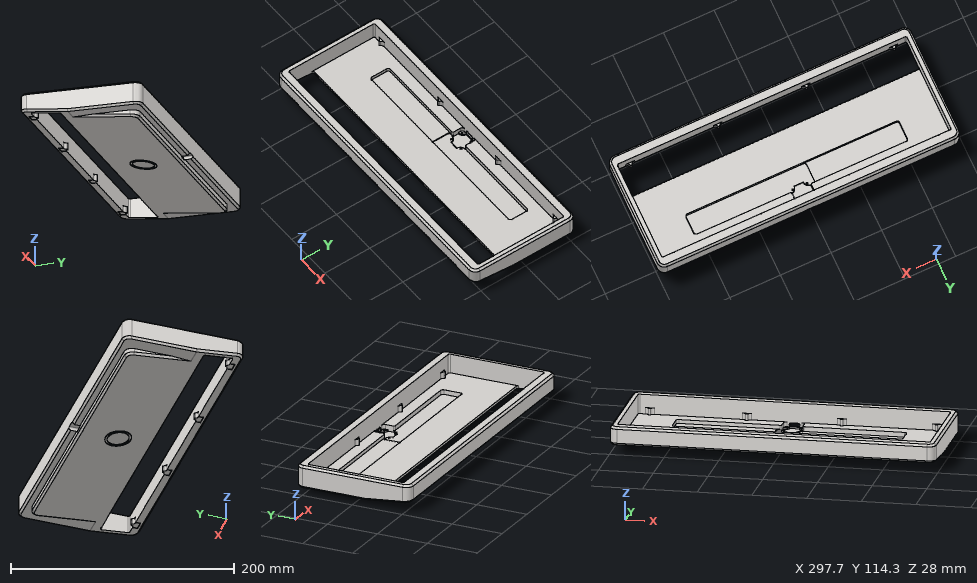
import cadquery as cq
import math


LENGTH = 297.7
WIDTH = 114.3
CORNER_RADIUS = 7.0
EDGE_CHAMFER = 2.0
HOUSING_DEPTH = 21.7
SIDE_WALL = 6.0
LONG_WALL = 9.2
INNER_RADIUS = 1.5
FLOOR_DEPTH = 18.2
FLOOR_FRONT_Y = -20.2

SLOPE_ANGLE = 6.0
FRONT_DEPTH = 17.0

FOOT_LENGTH = 267.3
FOOT_SETBACK = 7.5

RING_OUTER_DIAMETER = 24.0
RING_INNER_DIAMETER = 20.0
RING_DEPTH = 0.5
RING_Y = 12.0

STOP_NOSE_RADIUS = 1.2
STOP_NOSE_REACH = 2.75
STOP_FLARE_RADIUS = 3.3
STOP_HEIGHT = 6.0
INNER_STOP_X = 43.5
OUTER_STOP_X = 130.0
OFFSET_STOP_X = 132.2

POCKET_RADIUS = 2.5
POCKET_LEFT = -105.7
POCKET_STEP = -14.0
POCKET_RIGHT = 105.0
POCKET_FRONT = 15.5
POCKET_BACK = 36.3
SHALLOW_POCKET_DEPTH = 3.5
DEEP_POCKET_DEPTH = 4.5

BAY_LENGTH = 19.0
BAY_WIDTH = 17.0
BAY_EXTRA_DEPTH = 1.5
POST_RADIUS = 5.0
SCREW_INSET = 2.53
BAY_RADIUS = 2.7
BAY_LIP_RADIUS = 1.35
SCREW_HOLE_DIAMETER = 1.65
PORT_LENGTH = 9.8
PORT_HEIGHT = 3.5
PORT_TOP_DEPTH = 19.0

DOWNWARD_NORMAL_Z = -0.9
TOLERANCE = 0.03

half_width = WIDTH / 2
inner_length = LENGTH - 2 * SIDE_WALL
inner_back = half_width - LONG_WALL
slope = math.tan(math.radians(SLOPE_ANGLE))
foot_back = half_width - FOOT_SETBACK
deep_pocket_z = -FLOOR_DEPTH - DEEP_POCKET_DEPTH
bay_z = deep_pocket_z - BAY_EXTRA_DEPTH


def slope_z(y):
    """Height of the sloped underside at a given Y."""
    return -FRONT_DEPTH - slope * (y + half_width)


def block(x_min, x_max, y_min, y_max, z_min, z_max):
    """Box between the given limits."""
    size = (x_max - x_min, y_max - y_min, z_max - z_min)
    return cq.Workplane("XY").box(*size, centered=False).translate((x_min, y_min, z_min))


def sloped_block(length, back, depth):
    """Block with rounded uprights, a flat underside and a sloped front underside."""
    slope_end = min(back, (depth - FRONT_DEPTH) / slope - half_width)
    profile = [(-half_width, 0), (back, 0), (back, max(-depth, slope_z(back)))]
    if slope_end < back:
        profile.append((slope_end, -depth))
    profile.append((-half_width, -FRONT_DEPTH))
    solid = cq.Workplane("YZ").polyline(profile).close().extrude(length / 2, both=True)
    return solid.edges("|Z").fillet(CORNER_RADIUS)


def underside_rim(solid, crease_y):
    """Outer edges of the underside, without the crease where the slope ends."""
    undersides = [f for f in solid.faces().vals() if f.normalAt().z < DOWNWARD_NORMAL_Z]
    edges = [e for f in undersides for e in f.Edges()]
    return [e for e in edges if abs(e.Center().y - crease_y) > TOLERANCE]


def make_housing():
    crease_y = (HOUSING_DEPTH - FRONT_DEPTH) / slope - half_width
    solid = sloped_block(LENGTH, half_width, HOUSING_DEPTH)
    solid = solid.faces(">Z").chamfer(EDGE_CHAMFER)
    return solid.newObject(underside_rim(solid, crease_y)).chamfer(EDGE_CHAMFER)


def make_foot():
    solid = sloped_block(FOOT_LENGTH, foot_back, -slope_z(foot_back))
    solid = solid.newObject(underside_rim(solid, -half_width)).chamfer(EDGE_CHAMFER)
    keep = block(-LENGTH, LENGTH, FLOOR_FRONT_Y, WIDTH, -WIDTH, -FLOOR_DEPTH)
    return solid.intersect(keep)


def make_cavity():
    tray = block(-inner_length / 2, inner_length / 2, -inner_back, inner_back, -FLOOR_DEPTH, 0)
    opening = block(-inner_length / 2, inner_length / 2, -inner_back, FLOOR_FRONT_Y, -WIDTH, 0)
    return tray.edges("|Z").fillet(INNER_RADIUS).union(opening.edges("|Z").fillet(INNER_RADIUS))


def make_stop(x, side):
    """Bell-shaped stop; side is +1 on the back wall and -1 on the front wall."""
    nose_y = STOP_NOSE_REACH - STOP_NOSE_RADIUS
    center_gap = STOP_NOSE_RADIUS + STOP_FLARE_RADIUS
    half_base = math.sqrt(center_gap**2 - (STOP_FLARE_RADIUS - nose_y) ** 2)
    join_angle = math.atan2(STOP_FLARE_RADIUS - nose_y, half_base)
    join_x = STOP_NOSE_RADIUS * math.cos(join_angle)
    join_y = nose_y + STOP_NOSE_RADIUS * math.sin(join_angle)
    flare_angle = (math.pi / 2 + join_angle) / 2
    flare_x = half_base - STOP_FLARE_RADIUS * math.cos(flare_angle)
    flare_y = STOP_FLARE_RADIUS * (1 - math.sin(flare_angle))
    profile = (
        cq.Workplane("XY")
        .moveTo(-half_base, 0)
        .threePointArc((-flare_x, flare_y), (-join_x, join_y))
        .threePointArc((0, STOP_NOSE_REACH), (join_x, join_y))
        .threePointArc((flare_x, flare_y), (half_base, 0))
        .lineTo(half_base, -LONG_WALL / 2)
        .lineTo(-half_base, -LONG_WALL / 2)
        .close()
    )
    stop = profile.extrude(STOP_HEIGHT)
    if side > 0:
        stop = stop.rotate((0, 0, 0), (0, 0, 1), 180)
    return stop.translate((x, side * inner_back, -FLOOR_DEPTH))


def make_pocket(x_min, depth):
    pocket = block(x_min, POCKET_RIGHT, POCKET_FRONT, POCKET_BACK, -FLOOR_DEPTH - depth, -FLOOR_DEPTH)
    return pocket.edges("|Z").fillet(POCKET_RADIUS)


def make_bay():
    """Bay against the back wall with four corner posts left at the deep pocket level."""
    half = BAY_LENGTH / 2
    front = inner_back - BAY_WIDTH
    middle_y = (front + inner_back) / 2
    bay = block(-half, half, front, inner_back, bay_z, -FLOOR_DEPTH)
    bay = bay.edges("|Z and >Y").fillet(BAY_RADIUS)
    level = cq.Workplane("XY", origin=(0, middle_y, bay_z))
    posts = level.rect(BAY_LENGTH, BAY_WIDTH, forConstruction=True).vertices()
    posts = posts.circle(POST_RADIUS).extrude(BAY_EXTRA_DEPTH)
    holes = level.rect(BAY_LENGTH - 2 * SCREW_INSET, BAY_WIDTH - 2 * SCREW_INSET, forConstruction=True)
    holes = holes.vertices().circle(SCREW_HOLE_DIAMETER / 2).extrude(BAY_EXTRA_DEPTH)
    return bay.cut(posts).union(holes)


def make_recess():
    """Both pockets and the bay joined, with the lips where they meet rounded."""
    recess = make_pocket(POCKET_LEFT, SHALLOW_POCKET_DEPTH)
    recess = recess.union(make_pocket(POCKET_STEP, DEEP_POCKET_DEPTH)).union(make_bay())
    lips = [
        edge
        for edge in recess.edges("|Z").vals()
        if abs(edge.Center().y - POCKET_BACK) < BAY_LIP_RADIUS
        and abs(abs(edge.Center().x) - BAY_LENGTH / 2) < BAY_LIP_RADIUS
        and edge.Center().z > deep_pocket_z
    ]
    return recess.newObject(lips).fillet(BAY_LIP_RADIUS)


def make_port():
    """Rounded connector slot from the bay through the back wall."""
    center = (0, inner_back - BAY_RADIUS, -PORT_TOP_DEPTH - PORT_HEIGHT / 2)
    port = cq.Workplane("XZ", origin=center).slot2D(PORT_LENGTH, PORT_HEIGHT)
    return port.extrude(-WIDTH)


def make_ring_groove():
    """Shallow ring groove cut square to the sloped underside."""
    groove = cq.Workplane("XY").circle(RING_OUTER_DIAMETER / 2).circle(RING_INNER_DIAMETER / 2)
    groove = groove.extrude(RING_DEPTH, both=True)
    groove = groove.rotate((0, 0, 0), (1, 0, 0), -SLOPE_ANGLE)
    return groove.translate((0, RING_Y, slope_z(RING_Y)))


result = make_housing().union(make_foot()).cut(make_cavity())
for stop_x in (-OFFSET_STOP_X, -INNER_STOP_X, INNER_STOP_X, OUTER_STOP_X):
    result = result.union(make_stop(stop_x, 1))
for stop_x in (-OUTER_STOP_X, -INNER_STOP_X, INNER_STOP_X, OUTER_STOP_X):
    result = result.union(make_stop(stop_x, -1))
result = result.cut(make_recess()).cut(make_port()).cut(make_ring_groove())